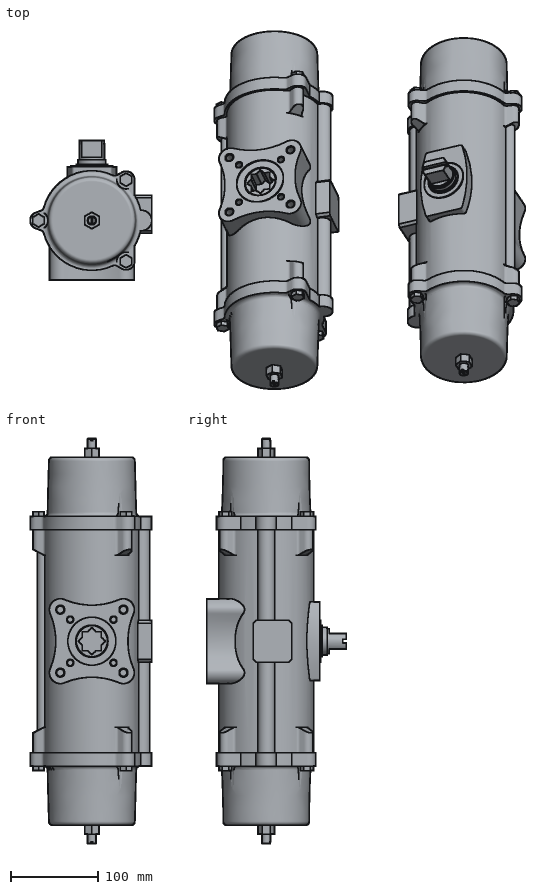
import cadquery as cq
import math


PICK_MARGIN = 0.1

TOP_Z = 232.0
NUT_TOP_Z = 220.7
CAP_TOP_Z = 210.7
RING_TOP_Z = 142.8
RING_THICKNESS = 15.3
RING_BOTTOM_Z = RING_TOP_Z - RING_THICKNESS

BODY_R = 54.5
RING_R = 57.0

CAP_BASE_R = 50.9
CAP_TOP_R = 49.1
CAP_EDGE_FILLET = 4.5
CAP_FOOT_FILLET = 4.3

SCREW_D = 10.0
SCREW_TIP_D = 8.57
SCREW_SLOT_WIDTH = 1.6
SCREW_SLOT_DEPTH = 2.5
NUT_FLATS = 16.5

LUG_CIRCLE_R = 61.0
LUG_R = 9.75
LUG_BLEND_R = 5.0
LUG_FLARE_ANGLE = 20.0
SIDE_LUG_ANGLE = 180.0
CORNER_LUG_ANGLES = (50.0, -50.0)
BOLT_ANGLES = (SIDE_LUG_ANGLE,) + CORNER_LUG_ANGLES
BOLT_HEAD_FLATS = 13.0
BOLT_HEAD_HEIGHT = 5.4
WRENCH_CLEARANCE_R = 10.7
PORT_LUG_X = 56.8
PORT_LUG_R = 11.7

GUSSET_R = 6.5
GUSSET_FLARE_ANGLE = 10.0
GUSSET_BLEND_R = 3.5
GUSSET_TIP_Z = 105.0
GUSSET_ROOT_Z = 98.4

SIDE_RAIL_X = -56.0
SIDE_RAIL_R = 6.5
PORT_RAIL_R = 9.6

PORT_FACE_X = 68.81
PORT_Y_MIN = -14.6
PORT_Y_MAX = 29.0
PORT_HALF_HEIGHT = 23.8
PORT_CHAMFER = 3.0

FLANGE_Y = -68.2
FLANGE_CORNER_R = 12.5
FLANGE_WAIST_R = 80.0
OUTER_HOLE_CIRCLE_D = 102.0
INNER_HOLE_CIRCLE_D = 70.0
OUTER_HOLE_D = 8.38
OUTER_HOLE_MOUTH_D = 10.0
INNER_HOLE_D = 6.65
INNER_HOLE_MOUTH_D = 8.0
HOLE_DEPTH = 15.0
SPIGOT_RECESS_D = 55.0
SPIGOT_RECESS_DEPTH = 1.5
BORE_MOUTH_D = 37.0
BORE_MOUTH_DEPTH = 3.0

PAD_Y = 61.5
PAD_HALF_HEIGHT = 45.0
PAD_HALF_WIDTH_END = 22.0
PAD_HALF_WIDTH_MID = 28.5
PAD_CORNER_FILLET = 3.0
PAD_RING_D = 48.0
PAD_RING_HEIGHT = 1.2

PINION_D = 36.0
PINION_END_CHAMFER = 0.19
PINION_SETBACK = 0.5
PINION_BOTTOM_Y = FLANGE_Y + SPIGOT_RECESS_DEPTH + PINION_SETBACK
PINION_SHOULDER_Y = 64.3
COLLAR_D = 32.0
COLLAR_TOP_Y = 69.6
STEM_D = 29.0
STEM_FLATS = 18.0
STEM_FLATS_Y = 72.3
STEM_TOP_Y = 91.8
STEM_SLOT_WIDTH = 4.0
STEM_SLOT_DEPTH = 4.0
STAR_SQUARE = 22.0
STAR_DEPTH = 24.0


def cylinder_z(radius, z_low, z_high, x=0.0, y=0.0):
    return cq.Workplane("XY", origin=(x, y, z_low)).circle(radius).extrude(z_high - z_low)


def cylinder_y(diameter, y_low, y_high):
    """Cylinder on the pinion axis."""
    return cq.Workplane("XZ", origin=(0, y_high, 0)).circle(diameter / 2).extrude(y_high - y_low)


def box_between(x, y, z):
    """Box from three (low, high) ranges."""
    size = (x[1] - x[0], y[1] - y[0], z[1] - z[0])
    return cq.Workplane("XY", origin=(x[0], y[0], z[0])).box(*size, centered=False)


def at_angle(shape, angle):
    return shape.rotate((0, 0, 0), (0, 0, 1), angle)


def lug_center(angle):
    turn = math.radians(angle)
    return LUG_CIRCLE_R * math.cos(turn), LUG_CIRCLE_R * math.sin(turn)


def hexagon_z(flats, z_low, z_high, x=0.0, y=0.0):
    """Hexagonal prism with two corners on the Y direction and flats facing X."""
    across_corners = flats / math.cos(math.pi / 6)
    plane = cq.Workplane("XY", origin=(x, y, z_low)).transformed(rotate=(0, 0, 90))
    return plane.polygon(6, across_corners).extrude(z_high - z_low)


def disc_with_lug(disc_r, lug_r, flare_angle, blend_r, z):
    """Disc with one rounded lug on +X whose flanks flare towards the disc and blend into it."""
    flare = math.radians(flare_angle)
    nose_x = LUG_CIRCLE_R + lug_r * math.sin(flare)
    nose_y = lug_r * math.cos(flare)
    root_x = LUG_CIRCLE_R - 3 * lug_r
    root_y = nose_y + (nose_x - root_x) * math.tan(flare)
    neck = (
        cq.Workplane("XY", origin=(0, 0, z[0]))
        .polyline([(nose_x, nose_y), (root_x, root_y), (root_x, -root_y), (nose_x, -nose_y)])
        .close()
        .extrude(z[1] - z[0])
    )
    disc = cylinder_z(disc_r, *z).union(neck).union(cylinder_z(lug_r, *z, LUG_CIRCLE_R))
    low_corner = (disc_r / 2, -root_y, z[0] - PICK_MARGIN)
    high_corner = (disc_r - PICK_MARGIN, root_y, z[1] + PICK_MARGIN)
    roots = cq.selectors.BoxSelector(low_corner, high_corner)
    return disc.edges("|Z").edges(roots).fillet(blend_r)


def end_ring():
    z = (RING_BOTTOM_Z, RING_TOP_Z)
    ring_with_lug = disc_with_lug(RING_R, LUG_R, LUG_FLARE_ANGLE, LUG_BLEND_R, z)
    ring = at_angle(ring_with_lug, SIDE_LUG_ANGLE)
    for angle in CORNER_LUG_ANGLES:
        x, y = lug_center(angle)
        flank = box_between((0, x + LUG_R), sorted((y / 2, y)), z)
        ring = ring.union(at_angle(ring_with_lug, angle)).union(flank)
    port_lug = cylinder_z(PORT_LUG_R, *z, PORT_LUG_X)
    port_neck = box_between((0, PORT_LUG_X), (-PORT_LUG_R, PORT_LUG_R), z)
    return ring.union(port_lug).union(port_neck)


def end_cap():
    """Turned cap: concave foot, slightly tapered wall, rounded top edge."""
    slope = (CAP_BASE_R - CAP_TOP_R) / (CAP_TOP_Z - RING_TOP_Z)
    wall_low_z = RING_TOP_Z + CAP_FOOT_FILLET
    wall_high_z = CAP_TOP_Z - CAP_EDGE_FILLET
    diagonal = math.sqrt(0.5)
    wall_top_r = CAP_BASE_R - slope * (wall_high_z - wall_low_z)
    flat_r = wall_top_r - CAP_EDGE_FILLET
    foot_r = CAP_BASE_R + CAP_FOOT_FILLET
    foot_mid = (foot_r - CAP_FOOT_FILLET * diagonal, wall_low_z - CAP_FOOT_FILLET * diagonal)
    edge_mid = (flat_r + CAP_EDGE_FILLET * diagonal, wall_high_z + CAP_EDGE_FILLET * diagonal)
    profile = (
        cq.Workplane("XZ")
        .moveTo(0, RING_BOTTOM_Z)
        .lineTo(foot_r, RING_BOTTOM_Z)
        .lineTo(foot_r, RING_TOP_Z)
        .threePointArc(foot_mid, (CAP_BASE_R, wall_low_z))
        .lineTo(wall_top_r, wall_high_z)
        .threePointArc(edge_mid, (flat_r, CAP_TOP_Z))
        .lineTo(0, CAP_TOP_Z)
        .close()
    )
    cap = profile.revolve(360, (0, 0, 0), (0, 1, 0))
    for angle in BOLT_ANGLES:
        cap = cap.cut(cylinder_z(WRENCH_CLEARANCE_R, RING_TOP_Z, CAP_TOP_Z, *lug_center(angle)))
    return cap


def adjusting_screw():
    screw = cylinder_z(SCREW_D / 2, CAP_TOP_Z, TOP_Z).faces(">Z").chamfer((SCREW_D - SCREW_TIP_D) / 2)
    half_slot = SCREW_SLOT_WIDTH / 2
    slot = box_between((-half_slot, half_slot), (-SCREW_D, SCREW_D), (TOP_Z - SCREW_SLOT_DEPTH, TOP_Z))
    return screw.cut(slot).union(hexagon_z(NUT_FLATS, CAP_TOP_Z, NUT_TOP_Z))


def gusset():
    """Bolt gusset on the +X side: rounded nose, flared root, sloping underside."""
    z = (GUSSET_ROOT_Z, RING_BOTTOM_Z)
    wedge = disc_with_lug(BODY_R, GUSSET_R, GUSSET_FLARE_ANGLE, GUSSET_BLEND_R, z)
    tip_x = LUG_CIRCLE_R + GUSSET_R
    underside = (
        cq.Workplane("XZ", origin=(0, BODY_R, 0))
        .polyline([(BODY_R, GUSSET_ROOT_Z), (tip_x, GUSSET_ROOT_Z), (tip_x, GUSSET_TIP_Z)])
        .close()
        .extrude(2 * BODY_R)
    )
    return wedge.cut(underside)


def upper_half():
    half = end_ring().union(end_cap()).union(adjusting_screw()).union(cylinder_z(BODY_R, 0, RING_BOTTOM_Z))
    bracket = gusset()
    for angle in BOLT_ANGLES:
        x, y = lug_center(angle)
        half = half.union(at_angle(bracket, angle))
        half = half.union(hexagon_z(BOLT_HEAD_FLATS, RING_TOP_Z, RING_TOP_Z + BOLT_HEAD_HEIGHT, x, y))
    return half


def rail(center_x, radius):
    z = (-RING_BOTTOM_Z, RING_BOTTOM_Z)
    web = box_between(sorted((0, center_x)), (-radius, radius), z)
    return cylinder_z(radius, *z, center_x).union(web)


def port_block():
    block = box_between((0, PORT_FACE_X), (PORT_Y_MIN, PORT_Y_MAX), (-PORT_HALF_HEIGHT, PORT_HALF_HEIGHT))
    return block.edges("|X").chamfer(PORT_CHAMFER)


def mounting_flange():
    """Four rounded corners joined by tangent concave waists, extruded along Y to the pinion axis."""
    corner = OUTER_HOLE_CIRCLE_D / 2 * math.sqrt(0.5)
    reach = FLANGE_WAIST_R + FLANGE_CORNER_R
    waist_center = corner + math.sqrt(reach**2 - corner**2)
    waist = waist_center - FLANGE_WAIST_R
    near = corner * FLANGE_WAIST_R / reach
    far = waist_center - (waist_center - corner) * FLANGE_WAIST_R / reach
    tip = corner + FLANGE_CORNER_R * math.sqrt(0.5)
    outline = cq.Workplane("XZ").moveTo(near, far)
    for turn in range(4):
        angle = -math.pi / 2 * turn
        cos, sin = round(math.cos(angle)), round(math.sin(angle))

        def turned(u, v):
            return u * cos - v * sin, u * sin + v * cos

        outline = outline.threePointArc(turned(tip, tip), turned(far, near))
        outline = outline.threePointArc(turned(waist, 0), turned(far, -near))
    return outline.close().extrude(-FLANGE_Y)


def flange_holes(circle_d, diameter, mouth_d):
    """Four blind holes on the diagonals, each with a 45 degree countersunk mouth."""
    offset = circle_d / 2 * math.sqrt(0.5)
    points = [(sx * offset, sz * offset) for sx in (-1, 1) for sz in (-1, 1)]
    face = cq.Workplane("XZ", origin=(0, FLANGE_Y, 0)).pushPoints(points)
    drills = face.circle(diameter / 2).extrude(-HOLE_DEPTH)
    mouths = face.circle(mouth_d / 2).extrude(-(mouth_d - diameter) / 2, taper=45)
    return drills.union(mouths)


def accessory_pad():
    end, mid, high = PAD_HALF_WIDTH_END, PAD_HALF_WIDTH_MID, PAD_HALF_HEIGHT
    pad = (
        cq.Workplane("XZ")
        .moveTo(-end, high)
        .lineTo(end, high)
        .threePointArc((mid, 0), (end, -high))
        .lineTo(-end, -high)
        .threePointArc((-mid, 0), (-end, high))
        .close()
        .extrude(-PAD_Y)
        .edges("|Y")
        .fillet(PAD_CORNER_FILLET)
    )
    return pad.union(cylinder_y(PAD_RING_D, 0, PAD_Y + PAD_RING_HEIGHT))


def pinion_bore():
    floor_y = FLANGE_Y + SPIGOT_RECESS_DEPTH
    bore = cylinder_y(PINION_D, FLANGE_Y, PAD_Y + PAD_RING_HEIGHT)
    recess = cylinder_y(SPIGOT_RECESS_D, FLANGE_Y, floor_y)
    mouth = cylinder_y(BORE_MOUTH_D, floor_y, floor_y + BORE_MOUTH_DEPTH)
    return bore.union(recess).union(mouth)


def make_housing():
    half = upper_half()
    housing = half.union(half.mirror("XY"))
    housing = housing.union(rail(SIDE_RAIL_X, SIDE_RAIL_R)).union(rail(PORT_LUG_X, PORT_RAIL_R))
    housing = housing.union(port_block()).union(mounting_flange()).union(accessory_pad())
    housing = housing.cut(flange_holes(OUTER_HOLE_CIRCLE_D, OUTER_HOLE_D, OUTER_HOLE_MOUTH_D))
    housing = housing.cut(flange_holes(INNER_HOLE_CIRCLE_D, INNER_HOLE_D, INNER_HOLE_MOUTH_D))
    return housing.cut(pinion_bore())


def make_pinion():
    journal = cylinder_y(PINION_D, PINION_BOTTOM_Y, PINION_SHOULDER_Y)
    journal = journal.faces("<Y").chamfer(PINION_END_CHAMFER)
    pinion = journal.union(cylinder_y(COLLAR_D, PINION_SHOULDER_Y, COLLAR_TOP_Y))
    stem = cylinder_y(STEM_D, COLLAR_TOP_Y, STEM_TOP_Y)
    half_flats = STEM_FLATS / 2
    for z in ((half_flats, STEM_D), (-STEM_D, -half_flats)):
        stem = stem.cut(box_between((-STEM_D, STEM_D), (STEM_FLATS_Y, STEM_TOP_Y), z))
    half_slot = STEM_SLOT_WIDTH / 2
    slot_y = (STEM_TOP_Y - STEM_SLOT_DEPTH, STEM_TOP_Y)
    stem = stem.cut(box_between((-STEM_D, STEM_D), slot_y, (-half_slot, half_slot)))
    pinion = pinion.union(stem)
    for turn in (0, 45):
        mouth = cq.Workplane("XZ", origin=(0, PINION_BOTTOM_Y, 0)).transformed(rotate=(0, 0, turn))
        pinion = pinion.cut(mouth.rect(STAR_SQUARE, STAR_SQUARE).extrude(-STAR_DEPTH))
    return pinion


housing = make_housing()
pinion = make_pinion()

result = cq.Compound.makeCompound([housing.val(), pinion.val()])